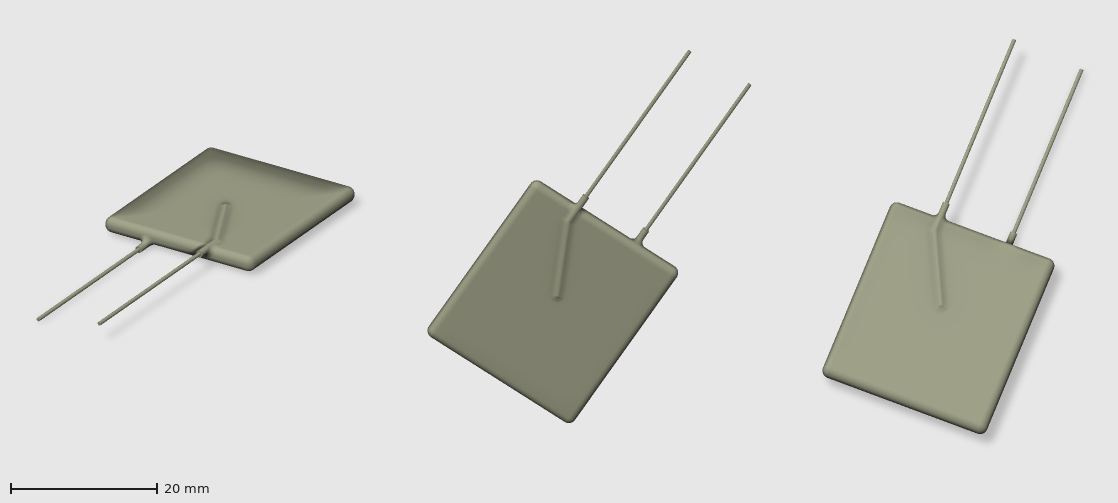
import cadquery as cq
import math

PLATE_WIDTH = 24.1
PLATE_LENGTH = 27.0
PLATE_THICKNESS = 2.3
EDGE_RADIUS = 1.05

OVERALL_LENGTH = 54.4
OVERALL_HEIGHT = 3.0
LEAD_DIAMETER = 0.55
LEAD_OFFSET = 4.95

SLEEVE_RADIUS = 0.5
SLEEVE_LENGTH = 2.0
BEND_START = 2.05
BEND_RADIUS = 1.15
BEND_ANGLE = 26.0
RIDGE_LENGTH = 10.5
BLEND_RADIUS = 1.1
SEAM_MARGIN = 0.05

LEAD_HEIGHT = OVERALL_HEIGHT / 2 - SLEEVE_RADIUS
LEAD_LENGTH = OVERALL_LENGTH - PLATE_LENGTH - SLEEVE_LENGTH


def half_turn(shape):
    """Turn a shape half a revolution about the plate's long axis."""
    return shape.rotate((0, 0, 0), (0, 1, 0), 180)


def make_plate():
    slab = cq.Workplane("XY").box(PLATE_WIDTH, PLATE_LENGTH, PLATE_THICKNESS)
    return slab.translate((0, PLATE_LENGTH / 2, 0)).edges().fillet(EDGE_RADIUS)


def make_ridge():
    """Sleeve that runs straight in, bends toward the plate centre and ends in a dome."""
    angle = math.radians(BEND_ANGLE)
    bend_centre_x = LEAD_OFFSET - BEND_RADIUS

    def bend_point(turn):
        return (bend_centre_x + BEND_RADIUS * math.cos(turn), BEND_START + BEND_RADIUS * math.sin(turn))

    bend_end = bend_point(angle)
    tip = (bend_end[0] - RIDGE_LENGTH * math.sin(angle), bend_end[1] + RIDGE_LENGTH * math.cos(angle))
    path = (
        cq.Workplane("XY", origin=(0, 0, LEAD_HEIGHT))
        .moveTo(LEAD_OFFSET, -SLEEVE_LENGTH)
        .lineTo(LEAD_OFFSET, BEND_START)
        .threePointArc(bend_point(angle / 2), bend_end)
        .lineTo(*tip)
    )
    section = cq.Workplane("XZ", origin=(LEAD_OFFSET, -SLEEVE_LENGTH, LEAD_HEIGHT)).circle(SLEEVE_RADIUS)
    dome = cq.Workplane("XY").sphere(SLEEVE_RADIUS).translate((*tip, LEAD_HEIGHT))
    return section.sweep(path).union(dome)


def blend_ridge(housing):
    """Round the seam where the upper ridge rises out of the plate."""
    reach = SLEEVE_RADIUS + RIDGE_LENGTH
    seam_zone = cq.selectors.BoxSelector(
        (LEAD_OFFSET - reach, -SEAM_MARGIN, 0),
        (LEAD_OFFSET + reach, PLATE_LENGTH - EDGE_RADIUS, PLATE_THICKNESS / 2 + SEAM_MARGIN),
        boundingbox=True,
    )
    return housing.edges(seam_zone).fillet(BLEND_RADIUS)


def make_housing():
    housing = make_plate()
    for _ in range(2):
        housing = half_turn(blend_ridge(housing.union(make_ridge())))
    return housing


def make_lead():
    base = cq.Workplane("XZ", origin=(LEAD_OFFSET, -SLEEVE_LENGTH, LEAD_HEIGHT))
    return base.circle(LEAD_DIAMETER / 2).extrude(LEAD_LENGTH)


housing = make_housing()
lead = make_lead()
leads = [lead, half_turn(lead)]

result = cq.Compound.makeCompound([housing.solids().val(), *[body.val() for body in leads]])